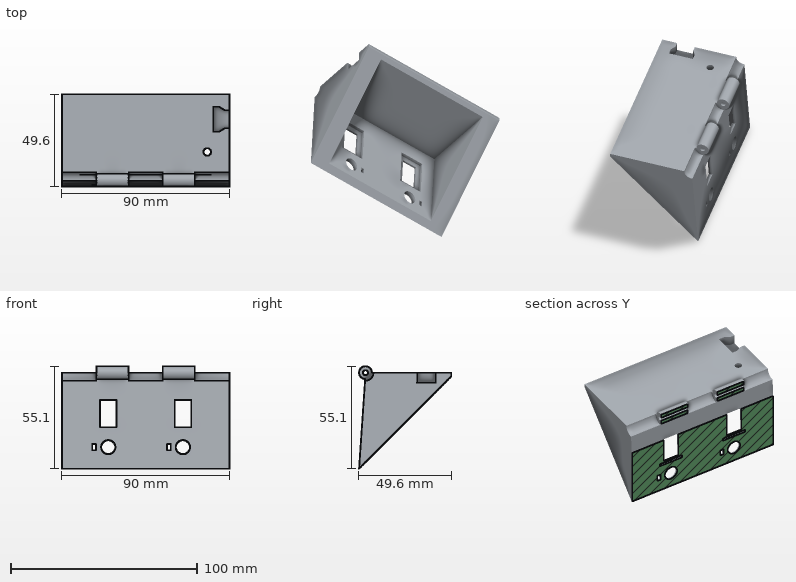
import cadquery as cq
import math

length = 90.0
depth = 49.6
height = 55.1
back_lip = 2.0

barrel_radius = 3.5
bore_diameter = 2.6
groove_radius = 4.3
barrel_length = 17.4
barrel_gap = 18.2
barrel_pitch = barrel_length + barrel_gap
first_barrel_x = (length - barrel_length - barrel_pitch) / 2
top_z = height - barrel_radius
hinge_y = barrel_radius

end_wall = 10.0
front_wall = 3.1
top_wall = 4.0

group_x = (24.9, 65.0)
window_width = 8.7
window_height = 14.7
window_z = 29.6
window_skin = 1.1
relief_margin = 2.7
button_diameter = 7.6
button_z = 11.7
slot_width = 1.9
slot_height = 3.2
slot_offset = 7.6

notch_y = 36.2
notch_depth = 5.4
notch_length = 8.7
neck_length = 2.7
flare_end = 5.7
neck_half_width = 4.95
head_half_width = 6.75
top_hole_diameter = 4.0
top_hole_x = length - 12.0
top_hole_y = 18.6

lean = math.atan2(hinge_y, top_z)


def along_x(x_start, x_length, outline):
    """Extrude a closed (Y, Z) outline along X."""
    return cq.Workplane("YZ").workplane(offset=x_start).polyline(outline).close().extrude(x_length)


def rod(x_start, x_length, radius):
    """Cylinder on the hinge axis."""
    return (
        cq.Workplane("YZ")
        .workplane(offset=x_start)
        .center(hinge_y, top_z)
        .circle(radius)
        .extrude(x_length)
    )


def front_panel(x, z, inset=0.0):
    """Workplane parallel to the leaning front face, its normal pointing into the part."""
    inward = cq.Vector(0, math.cos(lean), -math.sin(lean))
    origin = cq.Vector(x, z * math.tan(lean), z) + inward * inset
    return cq.Workplane(cq.Plane(origin, xDir=(1, 0, 0), normal=inward))


def wedge():
    slope_top_z = top_z - back_lip
    outline = [(0, 0), (hinge_y, top_z), (depth, top_z), (depth, slope_top_z)]
    return along_x(0, length, outline)


def cavity():
    slope = (top_z - back_lip) / depth
    face_run = math.tan(lean)
    inner_offset = front_wall / math.cos(lean)
    ceiling_z = top_z - top_wall
    low_y = inner_offset / (1 - slope * face_run)
    outline = [
        (low_y, low_y * slope),
        (inner_offset + ceiling_z * face_run, ceiling_z),
        (ceiling_z / slope, ceiling_z),
    ]
    return along_x(end_wall, length - 2 * end_wall, outline)


def panel_openings(x):
    """Window thinned from behind, round button hole and small slot."""
    window = front_panel(x, window_z).rect(window_width, window_height).extrude(front_wall)
    relief = (
        front_panel(x, window_z, window_skin)
        .rect(window_width + 2 * relief_margin, window_height + 2 * relief_margin)
        .extrude(front_wall - window_skin)
    )
    button = front_panel(x, button_z).circle(button_diameter / 2).extrude(front_wall)
    slot = front_panel(x - slot_offset, button_z).rect(slot_width, slot_height).extrude(front_wall)
    return window.union(relief).union(button).union(slot)


def latch_notch():
    lower_side = [
        (length, notch_y - neck_half_width),
        (length - neck_length, notch_y - neck_half_width),
        (length - flare_end, notch_y - head_half_width),
        (length - notch_length, notch_y - head_half_width),
    ]
    upper_side = [(x, 2 * notch_y - y) for x, y in reversed(lower_side)]
    return (
        cq.Workplane("XY")
        .workplane(offset=top_z - notch_depth)
        .polyline(lower_side + upper_side)
        .close()
        .extrude(notch_depth)
    )


def top_hole():
    return cq.Workplane("XY").center(top_hole_x, top_hole_y).circle(top_hole_diameter / 2).extrude(height)


body = wedge().cut(cavity()).cut(latch_notch()).cut(top_hole())
for x in group_x:
    body = body.cut(panel_openings(x))

barrel_starts = [first_barrel_x, first_barrel_x + barrel_pitch]
groove = rod(0, length, groove_radius)
for start in barrel_starts:
    groove = groove.cut(rod(start, barrel_length, 2 * groove_radius))
body = body.cut(groove)
for start in barrel_starts:
    body = body.union(rod(start, barrel_length, barrel_radius))

result = body.cut(rod(0, length, bore_diameter / 2))